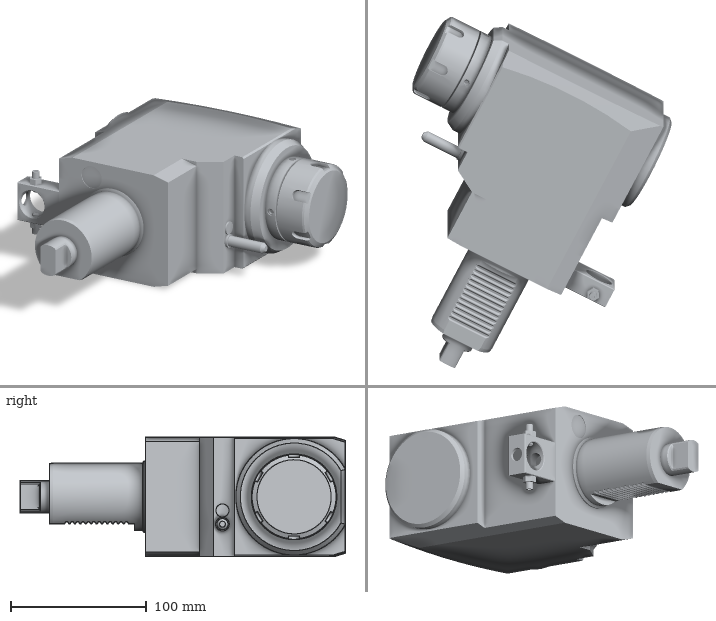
import cadquery as cq
import math


height = 88.0
half_height = height / 2
rear_y = 147.5
cover_face_x = -55.5
left_side_x = -46.8
nose_face_x = 72.7
pin_face_x = 64.8
right_side_x = 47.5
shoulder_y = 65.8
slant_top_y = 50.2
slant_bottom_y = 40.0
taper_start_x = 35.0
taper_slope = math.tan(math.radians(15))
nose_bevel = 1.2

crown_center_x = (nose_face_x - nose_bevel - taper_start_x) / 2
crown_radius = 312.0
crown_edge_y = 139.7
crown_slope = math.tan(math.radians(17))

seat_x, seat_z = -18.5, 32.0
seat_radius = 8.6
seat_depth = 0.5

shank_radius = 25.0
shank_length = 70.8
shank_chamfer_length, shank_chamfer_height = 3.0, 0.5
neck_radius = 24.7
neck_start, neck_end = 2.2, 3.5
rim_radius = 26.5
rim_length = 1.0
flat_z = -20.0
flat_start = 8.2

notch_count = 12
notch_pitch = 12 / 3
first_notch_y = -14.0
notch_depth = 1.5
notch_half_width = 1.7
notch_root_half_width = 0.6

tang_radius = 12.0
tang_collar_length = 7.2
tang_collar_chamfer = 0.7
tang_length = 21.5
tang_half_width = 6.5
tang_root_fillet = 1.0
tang_edge_chamfer = 0.7

spindle_y = 109.7
cover_radius = 37.0
cover_thickness = 8.6
cover_chamfer = 2.5

flange_radius = 43.0
flange_thickness = 11.0
flange_chamfer_length = 5.8
flange_chamfer_height = flange_chamfer_length * math.tan(math.radians(30))
collar_diameter = 63.0
collar_radius = collar_diameter / 2
collar_end_x = 92.5
groove_radius = 25.2
nut_start_x = 93.5
nut_end_x = 119.0
nut_edge_chamfer = 0.2
nut_step_length, nut_step_height = 1.5, 0.6
nut_cone_length, nut_cone_height = 2.2, 3.5

slot_count = 6
slot_width = 8.2
slot_floor_radius = 28.8
slot_length = 14.6
screw_count = 4
screw_x = 88.3
screw_radius = 2.6
screw_recess = 1.0
screw_rim_radius = 2.0
screw_socket_radius = 1.2
screw_socket_depth = 1.0

pin_y, pin_z = 57.0, -20.2
pin_radius = 4.0
pin_length = 32.6
pin_tip_length, pin_tip_radius = 2.6, 2.2
pin_collar_radius = 5.0
pin_collar_length = 2.0
button_z = -10.0
button_radius = 4.8
button_thickness = 1.2

bracket_end_x = -83.0
bracket_front_y, bracket_rear_y = 0.5, 15.8
bracket_half_height = 15.0
bracket_chamfer = 0.5
bore_x = -70.3
bore_radius = 10.5
port_y = 8.2
port_radius = 5.0
port_depth = 30.0
dimple_radius = 1.0
dimple_depth = 0.5
stud_y = 6.0
stud_radius = 2.6
stud_inner_z, stud_outer_z = 8.2, 24.5
stud_chamfer = 1.2
hexagon_sides = 6
nut_flats = 8.5
stud_nut_thickness = 4.3
stud_socket_flats = 2.6
stud_socket_depth = 2.5


def along_x(x, y=0.0, z=0.0):
    """Workplane facing +X at the given point, with local x along +Y and local y along +Z."""
    return cq.Workplane("YZ", origin=(x, y, z))


def turned_along_x(profile, y):
    """Solid turned about the X-parallel axis at height 0 from (x, radius) points."""
    return (
        cq.Workplane("XY", origin=(0, y, 0))
        .polyline(profile)
        .close()
        .revolve(360, (0, 0, 0), (1, 0, 0))
    )


def turned_along_y(profile):
    """Solid turned about the shank axis from (radius, y) points."""
    return cq.Workplane("XY").polyline(profile).close().revolve(360, (0, 0, 0), (0, 1, 0))


def tapered_z(x):
    """Height of the 15 degree side taper at a distance x from the shank axis."""
    return half_height - (abs(x) - taper_start_x) * taper_slope


def make_housing():
    plan = (
        cq.Workplane("XY", origin=(0, 0, -half_height))
        .polyline([
            (left_side_x, 0),
            (right_side_x, 0),
            (right_side_x, slant_bottom_y),
            (pin_face_x, slant_top_y),
            (pin_face_x, shoulder_y),
            (nose_face_x, shoulder_y),
            (nose_face_x, rear_y),
            (cover_face_x, rear_y),
            (cover_face_x, shoulder_y),
            (left_side_x, shoulder_y),
        ])
        .close()
        .extrude(height)
    )
    upper_section = [
        (cover_face_x, tapered_z(cover_face_x)),
        (-taper_start_x, half_height),
        (nose_face_x - nose_bevel, half_height),
        (nose_face_x, half_height - nose_bevel),
    ]
    lower_section = [(x, -z) for x, z in reversed(upper_section)]
    section = (
        cq.Workplane("XZ")
        .polyline(upper_section + lower_section)
        .close()
        .extrude(-rear_y)
    )
    crown_mid_radius = crown_radius + half_height / crown_slope
    crown = (
        cq.Workplane("XZ", origin=(crown_center_x, crown_edge_y - crown_radius, 0))
        .polyline([
            (0, -half_height),
            (crown_radius, -half_height),
            (crown_mid_radius, 0),
            (crown_radius, half_height),
            (0, half_height),
        ])
        .close()
        .revolve(360, (0, 0, 0), (0, 1, 0))
    )
    housing = plan.intersect(section).intersect(crown)

    for side in (1, -1):
        side_taper = (
            cq.Workplane("XZ")
            .polyline([
                (taper_start_x, side * half_height),
                (right_side_x, side * half_height),
                (right_side_x, side * tapered_z(right_side_x)),
            ])
            .close()
            .extrude(-slant_bottom_y)
        )
        housing = housing.cut(side_taper)

    seat = cq.Workplane("XZ").center(seat_x, seat_z).circle(seat_radius).extrude(-seat_depth)
    return housing.cut(seat)


def make_shank():
    shank = turned_along_y([
        (0, 0),
        (rim_radius, 0),
        (rim_radius, -rim_length),
        (neck_radius, -neck_start),
        (shank_radius, -neck_end),
        (shank_radius, -shank_length + shank_chamfer_length),
        (shank_radius - shank_chamfer_height, -shank_length),
        (0, -shank_length),
    ])
    flat = (
        cq.Workplane("XZ", origin=(0, -flat_start, 0))
        .center(0, flat_z - shank_radius)
        .rect(4 * shank_radius, 2 * shank_radius)
        .extrude(shank_length - flat_start)
    )
    shank = shank.cut(flat)
    for index in range(notch_count):
        notch = (
            along_x(-shank_radius, first_notch_y - index * notch_pitch, flat_z)
            .polyline([
                (-notch_half_width, 0),
                (-notch_root_half_width, notch_depth),
                (notch_root_half_width, notch_depth),
                (notch_half_width, 0),
            ])
            .close()
            .extrude(2 * shank_radius)
        )
        shank = shank.cut(notch)
    return shank


def make_tang():
    collar_end_y = -shank_length - tang_collar_length
    collar = (
        cq.Workplane("XZ", origin=(0, -shank_length, 0))
        .circle(tang_radius)
        .extrude(tang_collar_length)
        .faces("<Y")
        .chamfer(tang_collar_chamfer)
    )
    width_limit = (
        cq.Workplane("XZ", origin=(0, -shank_length, 0))
        .rect(2 * tang_half_width, 2 * tang_radius)
        .extrude(tang_length)
    )
    blade = (
        cq.Workplane("XZ", origin=(0, -shank_length, 0))
        .circle(tang_radius)
        .extrude(tang_length)
        .intersect(width_limit)
        .edges("|Y")
        .chamfer(tang_edge_chamfer)
    )
    root_edges = cq.selectors.BoxSelector(
        (-tang_radius, collar_end_y - tang_root_fillet / 2, -tang_half_width),
        (tang_radius, collar_end_y + tang_root_fillet / 2, tang_half_width),
    )
    return collar.union(blade).edges("|Z").edges(root_edges).fillet(tang_root_fillet)


def make_cover():
    cover_end_x = cover_face_x - cover_thickness
    return turned_along_x([
        (cover_face_x, 0),
        (cover_face_x, cover_radius),
        (cover_end_x + cover_chamfer, cover_radius),
        (cover_end_x, cover_radius - cover_chamfer),
        (cover_end_x, 0),
    ], spindle_y)


def make_flange():
    """Round flange cut flush with the housing's rear face, chamfered all around."""
    front_of_rear_face = along_x(0).rect(2 * rear_y, 4 * flange_radius).extrude(2 * nose_face_x)
    return (
        along_x(nose_face_x, spindle_y)
        .circle(flange_radius)
        .extrude(flange_thickness)
        .intersect(front_of_rear_face)
        .faces(">X")
        .chamfer(flange_chamfer_length, flange_chamfer_height)
    )


def about_spindle(shape, angle):
    """The shape rotated about the spindle axis."""
    return shape.rotate((0, spindle_y, 0), (1, spindle_y, 0), angle)


def make_collar_and_nut():
    flange_end_x = nose_face_x + flange_thickness
    nut_cone_start_x = nut_end_x - nut_cone_length
    nut_step_start_x = nut_cone_start_x - nut_step_length
    nut_step_radius = collar_radius - nut_step_height
    nose = turned_along_x([
        (flange_end_x, 0),
        (flange_end_x, collar_radius),
        (collar_end_x, collar_radius),
        (collar_end_x, groove_radius),
        (nut_start_x, groove_radius),
        (nut_start_x, collar_radius - nut_edge_chamfer),
        (nut_start_x + nut_edge_chamfer, collar_radius),
        (nut_step_start_x, collar_radius),
        (nut_cone_start_x, nut_step_radius),
        (nut_end_x, nut_step_radius - nut_cone_height),
        (nut_end_x, 0),
    ], spindle_y)

    slot_end_x = nut_end_x - slot_length
    slot = (
        cq.Workplane("XY", origin=(slot_end_x, spindle_y, slot_floor_radius))
        .slot2D(4 * slot_length, slot_width)
        .extrude(slot_width)
        .translate((2 * slot_length, 0, 0))
    )
    for index in range(slot_count):
        nose = nose.cut(about_spindle(slot, index * 360 / slot_count))

    screw_seat = (
        cq.Workplane("XZ", origin=(screw_x, spindle_y, collar_radius))
        .polyline([
            (0, 0),
            (screw_radius, 0),
            (screw_radius, -screw_recess),
            (screw_rim_radius, -screw_recess),
            (screw_socket_radius, -screw_recess - screw_socket_depth),
            (0, -screw_recess - screw_socket_depth),
        ])
        .close()
        .revolve(360, (0, 0, 0), (0, 1, 0))
    )
    for index in range(screw_count):
        nose = nose.cut(about_spindle(screw_seat, index * 360 / screw_count))
    return nose


def make_pin():
    pin_end_x = pin_face_x + pin_length
    pin = turned_along_x([
        (pin_face_x, 0),
        (pin_face_x, pin_collar_radius),
        (pin_face_x + pin_collar_length, pin_collar_radius),
        (pin_face_x + pin_collar_length, pin_radius),
        (pin_end_x - pin_tip_length, pin_radius),
        (pin_end_x, pin_tip_radius),
        (pin_end_x, 0),
    ], pin_y).translate((0, 0, pin_z))
    button = along_x(pin_face_x, pin_y, button_z).circle(button_radius).extrude(button_thickness)
    return pin.union(button)


def make_stud():
    """Stud with a lock nut on the bracket's upper face and a hexagon socket on top."""
    stud = (
        cq.Workplane("XY", origin=(bore_x, stud_y, stud_inner_z))
        .circle(stud_radius)
        .extrude(stud_outer_z - stud_inner_z)
        .faces("<Z")
        .chamfer(stud_chamfer)
    )
    lock_nut = (
        cq.Workplane("XY", origin=(bore_x, stud_y, bracket_half_height))
        .polygon(hexagon_sides, nut_flats, circumscribed=True)
        .extrude(stud_nut_thickness)
        .rotate((bore_x, stud_y, 0), (bore_x, stud_y, 1), 90)
    )
    socket = (
        cq.Workplane("XY", origin=(bore_x, stud_y, stud_outer_z))
        .polygon(hexagon_sides, stud_socket_flats, circumscribed=True)
        .extrude(-stud_socket_depth)
    )
    return stud.union(lock_nut).cut(socket)


def make_bracket():
    root_x = left_side_x + bracket_chamfer
    bracket = (
        cq.Workplane("XZ", origin=(0, bracket_rear_y, 0))
        .center((bracket_end_x + root_x) / 2, 0)
        .rect(root_x - bracket_end_x, 2 * bracket_half_height)
        .extrude(bracket_rear_y - bracket_front_y)
        .faces("<Y")
        .workplane(origin=(bore_x, bracket_front_y, 0))
        .hole(2 * bore_radius)
        .faces("<Y or >Y")
        .chamfer(bracket_chamfer)
    )
    port_end_x = bracket_end_x + port_depth
    port = turned_along_x([
        (bracket_end_x, 0),
        (bracket_end_x, port_radius),
        (port_end_x, port_radius),
        (port_end_x, dimple_radius),
        (port_end_x + dimple_depth, 0),
    ], port_y)
    bracket = bracket.cut(port)
    upper_stud = make_stud()
    lower_stud = upper_stud.mirror("XY")
    return bracket.union(upper_stud).union(lower_stud)


result = (
    make_housing()
    .union(make_shank())
    .union(make_tang())
    .union(make_cover())
    .union(make_flange())
    .union(make_collar_and_nut())
    .union(make_pin())
    .union(make_bracket())
)